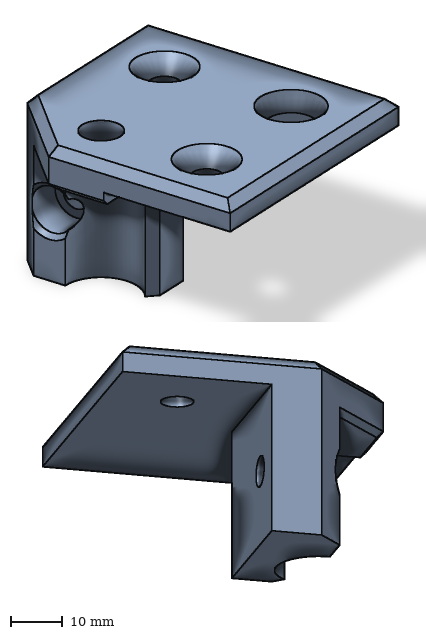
import cadquery as cq

length = 60.0
width = 57.0
height = 36.0
plate_thickness = 6.0
corner_cut = 17.0
top_chamfer = 2.0

leg_length = 30.0
leg_front = 12.0
leg_back = 27.0
pad_thickness = 9.0
pad_chamfer = 1.2

groove_x = 21.0
groove_y = leg_front
groove_diameter = 17.05

side_cut_offset = 11.0

screw_diameter = 6.4
screw_head_diameter = 13.75
screw_places = [(15.0, 42.0), (45.0, 13.5)]

recess_place = (45.0, 42.0)
recess_diameter = 14.4
recess_floor_diameter = 10.4
recess_depth = 4.0

pocket_place = (groove_x, groove_y)
pocket_diameter = 9.0
pocket_depth = 5.3

cross_x = 8.75
cross_z = 15.0
cross_diameter = 6.1
bore_diameter = 10.0
bore_depth = 9.0
bore_mouth_diameter = 12.1


def clipped(x_size, y_end, z_start, z_end):
    """Prism with its X = 0, Y = 0 corner cut off at 45 degrees."""
    return (
        cq.Workplane("XY", origin=(0, 0, z_start))
        .moveTo(corner_cut, 0)
        .lineTo(x_size, 0)
        .lineTo(x_size, y_end)
        .lineTo(0, y_end)
        .lineTo(0, corner_cut)
        .close()
        .extrude(z_end - z_start)
    )


def cone(place, top_diameter, bottom_diameter, depth):
    """Conical cutter that narrows downward from the top of the plate."""
    solid = cq.Solid.makeCone(
        bottom_diameter / 2, top_diameter / 2, depth,
        pnt=cq.Vector(*place, height - depth), dir=cq.Vector(0, 0, 1),
    )
    return cq.Workplane(solid)


def upright_cylinder(place, diameter, z_start, z_end):
    """Vertical cylindrical cutter."""
    return (
        cq.Workplane("XY", origin=(*place, z_start))
        .circle(diameter / 2)
        .extrude(z_end - z_start)
    )


def cross_cylinder(diameter, y_end):
    """Cutter along the cross hole axis, from the Y = 0 side to y_end."""
    return (
        cq.Workplane("XZ", origin=(cross_x, 0, cross_z))
        .circle(diameter / 2)
        .extrude(-y_end)
    )


leg_top = height - plate_thickness
plate = clipped(length, width, leg_top, height).faces(">Z").chamfer(top_chamfer)

pad_bottom = height - pad_thickness
pad = clipped(leg_length, leg_back, pad_bottom, leg_top)
front_edge = "<Y"
clipped_edge = "<(1, 1, 0)"
pad = pad.faces("<Z").edges(f"{front_edge} or {clipped_edge}").chamfer(pad_chamfer)

front_space = cq.Workplane("XY").box(leg_length, leg_front, leg_top, centered=False)
leg = clipped(leg_length, leg_back, 0, leg_top).cut(front_space)
leg = leg.cut(upright_cylinder((groove_x, groove_y), groove_diameter, 0, pad_bottom))
side_cut = (
    cq.Workplane("XY")
    .moveTo(leg_front + side_cut_offset, leg_front)
    .lineTo(leg_length, leg_front)
    .lineTo(leg_length, leg_length - side_cut_offset)
    .close()
    .extrude(pad_bottom)
)
leg = leg.cut(side_cut)

result = plate.union(pad).union(leg)

countersink_depth = (screw_head_diameter - screw_diameter) / 2
for place in screw_places:
    result = result.cut(upright_cylinder(place, screw_diameter, 0, height))
    result = result.cut(cone(place, screw_head_diameter, screw_diameter, countersink_depth))

result = result.cut(cone(recess_place, recess_diameter, recess_floor_diameter, recess_depth))
result = result.cut(upright_cylinder(pocket_place, pocket_diameter, height - pocket_depth, height))

flare_depth = (bore_mouth_diameter - bore_diameter) / 2
flare = cq.Workplane(
    cq.Solid.makeCone(
        bore_mouth_diameter / 2, bore_diameter / 2, flare_depth,
        pnt=cq.Vector(cross_x, leg_front, cross_z), dir=cq.Vector(0, 1, 0),
    )
)
result = result.cut(cross_cylinder(cross_diameter, leg_back))
result = result.cut(cross_cylinder(bore_diameter, leg_front + bore_depth))
result = result.cut(flare)